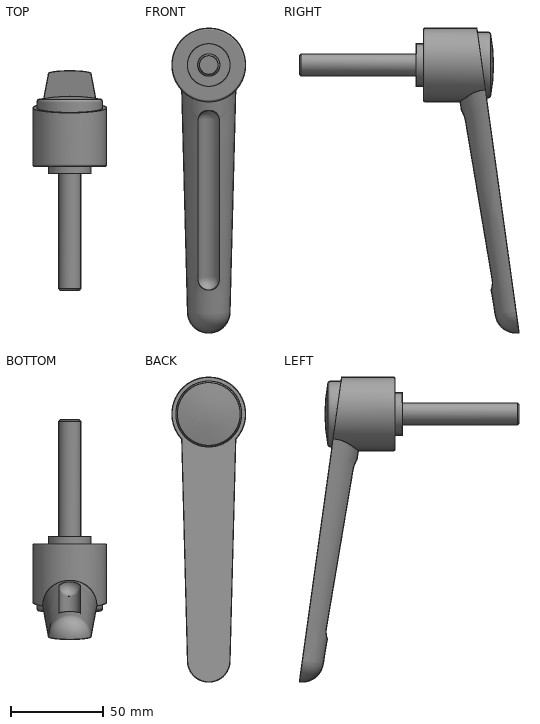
import cadquery as cq
import math


overall_height = 165.0

hub_radius = 20.0
hub_edge_round = 1.0
collar_radius = 11.5
collar_length = 4.0
pin_radius = 6.02
pin_end_y = -67.2
pin_chamfer = 1.0

cap_radius = 17.8
cap_side_y = 34.5
cap_rim_radius = 17.0
cap_rim_y = 36.3
cap_top_y = 38.0

lever_tilt = 7.9
back_plane_y = 31.7
lever_root_radius = 15.0
lever_tip_radius = 11.5
lowest_z = hub_radius - overall_height
tip_center_z = lowest_z + lever_tip_radius

groove_radius = 5.8
groove_upper_z = -30.0
groove_lower_z = -116.0

tilt = math.radians(lever_tilt)
lever_length = -tip_center_z / math.cos(tilt)

lever_plane = cq.Plane(
    origin=(0, back_plane_y, 0),
    xDir=(1, 0, 0),
    normal=(0, math.sin(tilt), -math.cos(tilt)),
)


def below_back_plane(body):
    """Keep the material on the pin side of the sloping back plane."""
    size = 3 * overall_height
    cutter = cq.Workplane(lever_plane).center(0, -size / 2).box(size, size, size)
    return body.cut(cutter)


def cylinder_y(radius, start_y, end_y):
    """Solid cylinder about the hub axis."""
    length = end_y - start_y
    direction = cq.Vector(0, 1, 0)
    return cq.Workplane(obj=cq.Solid.makeCylinder(radius, length, cq.Vector(0, start_y, 0), direction))


def make_hub():
    hub = cylinder_y(hub_radius, 0, cap_top_y).faces("<Y").edges().fillet(hub_edge_round)
    return below_back_plane(hub)


def make_cap():
    """Cap with a rounded rim and a shallow dome, seated inside the hub."""
    seat_y = back_plane_y / 2
    dome_rise = cap_top_y - cap_rim_y
    dome_radius = (cap_rim_radius**2 + dome_rise**2) / (2 * dome_rise)
    half_rim = cap_rim_radius / 2
    dome_mid_y = cap_top_y - dome_radius + math.sqrt(dome_radius**2 - half_rim**2)
    return (
        cq.Workplane("XY")
        .moveTo(0, seat_y)
        .lineTo(cap_radius, seat_y)
        .lineTo(cap_radius, cap_side_y)
        .tangentArcPoint((cap_rim_radius, cap_rim_y), relative=False)
        .threePointArc((half_rim, dome_mid_y), (0, cap_top_y))
        .close()
        .revolve(360, (0, 0, 0), (0, 1, 0))
    )


def make_pin():
    collar = cylinder_y(collar_radius, -collar_length, hub_radius)
    pin = cylinder_y(pin_radius, pin_end_y, 0).faces("<Y").edges().chamfer(pin_chamfer)
    return collar.union(pin)


def radius_along_lever(distance):
    return lever_root_radius + (lever_tip_radius - lever_root_radius) * distance / lever_length


def groove_center(z):
    """Point on the groove axis, level with the groove edges on the lever surface."""
    distance = -z / math.cos(tilt)
    depth = math.sqrt(radius_along_lever(distance) ** 2 - groove_radius**2)
    return cq.Vector(0, back_plane_y - z * math.tan(tilt) - depth / math.cos(tilt), z)


def make_groove():
    upper = groove_center(groove_upper_z)
    lower = groove_center(groove_lower_z)
    axis = lower - upper
    groove = cq.Workplane(obj=cq.Solid.makeCylinder(groove_radius, axis.Length, upper, axis))
    for center in (upper, lower):
        groove = groove.union(cq.Workplane("XY").sphere(groove_radius).translate(center))
    return groove


def make_lever():
    """Turned taper with a ball tip, halved by the back plane and grooved."""
    tip_offset = lever_tip_radius * math.sqrt(0.5)
    bar = (
        cq.Workplane("XZ")
        .polyline([(0, 0), (lever_root_radius, 0), (lever_tip_radius, lever_length)])
        .threePointArc(
            (tip_offset, lever_length + tip_offset),
            (0, lever_length + lever_tip_radius),
        )
        .close()
        .revolve(360, (0, 0, 0), (0, 1, 0))
    )
    bar = cq.Workplane(obj=bar.val().moved(lever_plane.location))
    return below_back_plane(bar).cut(make_groove())


result = make_hub().union(make_lever()).union(make_cap()).union(make_pin())